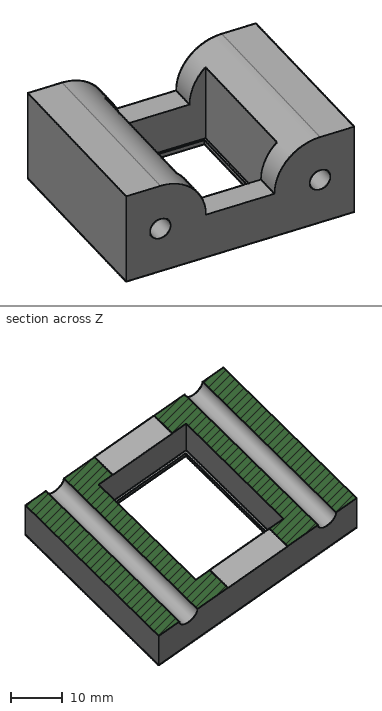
import cadquery as cq

LENGTH_X = 40.0
WIDTH_Y = 50.0
HEIGHT = 20.0

RAIL_RADIUS = 10.0
RAIL_AXIS_FROM_SIDE = 7.5
RAIL_AXIS_Y = WIDTH_Y / 2 - RAIL_AXIS_FROM_SIDE
FLOOR_HEIGHT = HEIGHT - RAIL_RADIUS
FLOOR_HALF_WIDTH = RAIL_AXIS_Y - RAIL_RADIUS

ROD_HOLE_DIAMETER = 4.5

WINDOW_X = 29.0
WINDOW_Y = 22.0
LIP_WIDTH = 0.5
LIP_HEIGHT = 1.0


def make_body():
    """Extrude the YZ outline: a block with a valley between two quarter-round rails."""
    half_width = WIDTH_Y / 2
    arc_offset = RAIL_RADIUS * 0.5 ** 0.5
    arc_mid_y = RAIL_AXIS_Y - arc_offset
    arc_mid_z = FLOOR_HEIGHT + arc_offset
    return (
        cq.Workplane("YZ", origin=(-LENGTH_X / 2, 0, 0))
        .moveTo(-half_width, 0)
        .lineTo(half_width, 0)
        .lineTo(half_width, HEIGHT)
        .lineTo(RAIL_AXIS_Y, HEIGHT)
        .threePointArc((arc_mid_y, arc_mid_z), (FLOOR_HALF_WIDTH, FLOOR_HEIGHT))
        .lineTo(-FLOOR_HALF_WIDTH, FLOOR_HEIGHT)
        .threePointArc((-arc_mid_y, arc_mid_z), (-RAIL_AXIS_Y, HEIGHT))
        .lineTo(-half_width, HEIGHT)
        .close()
        .extrude(LENGTH_X)
    )


def make_rod_holes():
    """Cylinders that run the full length of both rails."""
    return (
        cq.Workplane("YZ", origin=(-LENGTH_X / 2, 0, 0))
        .pushPoints([(side * RAIL_AXIS_Y, FLOOR_HEIGHT) for side in (-1, 1)])
        .circle(ROD_HOLE_DIAMETER / 2)
        .extrude(LENGTH_X)
    )


def make_window():
    """Rectangular opening that narrows to the lip at the bottom."""
    lip_opening = (
        cq.Workplane("XY")
        .rect(WINDOW_X - 2 * LIP_WIDTH, WINDOW_Y - 2 * LIP_WIDTH)
        .extrude(HEIGHT)
    )
    upper_opening = (
        cq.Workplane("XY", origin=(0, 0, LIP_HEIGHT))
        .rect(WINDOW_X, WINDOW_Y)
        .extrude(HEIGHT - LIP_HEIGHT)
    )
    return upper_opening.union(lip_opening)


result = make_body().cut(make_rod_holes()).cut(make_window())